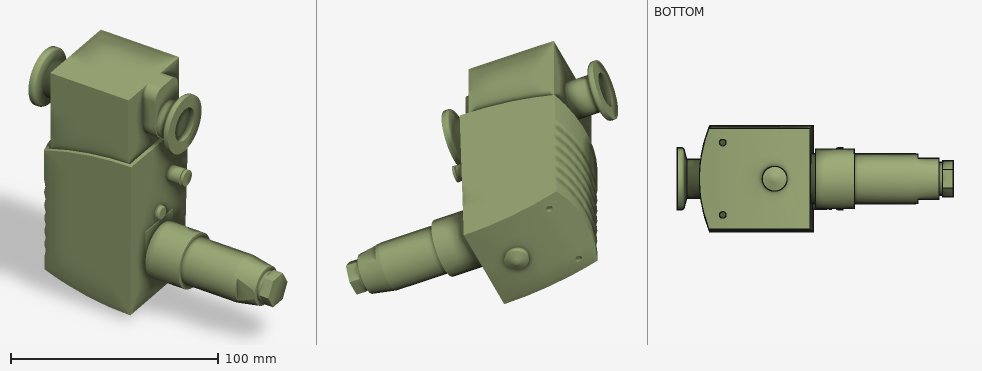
import cadquery as cq
import math


block_length = 44.9
block_width = 45.3
block_top = 20.2
block_bottom = -34.6

flange_radius = 15.0
flange_rim = 1.9
flange_shoulder = 3.5
flange_shoulder_radius = flange_radius - (flange_shoulder - flange_rim)
flange_thickness = 4.7
tube_radius = 19.0 / 2
bore_radius = 8.7
bore_depth = 2.9
left_port_face = -39.8
right_port_face = 40.1

boss_end = 29.7
boss_radius = 10.0
boss_corner_radius = 5.5

draft_angle = 1.0
draft_slope = math.tan(math.radians(draft_angle))
housing_top = -15.5
housing_bottom = -102.3
housing_rear_top = 25.8
housing_front = -29.2
half_width_top = 25.7
front_arc_radius = 67.9
top_arc_radius = 163.6
bottom_arc_radius = 132.4
wall = 2.0
housing_height = housing_top - housing_bottom
housing_rear_bottom = housing_rear_top - draft_slope * housing_height
half_width_bottom = half_width_top - draft_slope * housing_height
front_axis_x = housing_front + front_arc_radius

grip_first_valley = -42.2
grip_valleys = 6
grip_waves_height = 41.3
wave_half_pitch = grip_waves_height / (2 * grip_valleys - 1)
wave_depth = 0.6
grip_lead_in = 1.5
grip_lead_out = 2.0

rear_fitting_start = 24.0
nipple_y = 10.8
nipple_z = -38.9
nipple_radius = 4.1
nipple_end = 34.6
nipple_groove_radius = 2.9
nipple_groove_start = 32.5
nipple_groove_end = 33.3

button_z = -55.7
button_base_radius = 4.0
button_base_end = 25.6
button_radius = 3.6
button_end = 27.5
button_chamfer = 0.5

connector_z = -76.7
plug_radius = 24.4 / 2
collar_radius = 28.9 / 2
collar_start = 26.8
collar_end = 45.7
plug_end = 74.5
cone_end = 86.6
cone_end_radius = 20.1 / 2
flat_half_width = 10.0
flat_start = 76.5
plate_height = 16.1
plate_end = 25.6
neck_radius = 8.0
nut_start = 88.2
nut_end = 93.4
nut_sides = 6
nut_across_flats = 15.0

screw_x = 7.2
screw_radius = 6.0
screw_rim = -103.2
screw_tip = -105.9
screw_root = -93.2
hole_x = -17.8
hole_y = 17.5
hole_diameter = 3.2
hole_depth = 4.0


def rod(radius, x_start, x_end, y=0.0, z=0.0):
    """Round bar along X."""
    return cq.Workplane("YZ", origin=(x_start, y, z)).circle(radius).extrude(x_end - x_start)


def port(face_x, inward):
    """Flanged tube from its open face to the block; inward is +1 or -1 along X."""
    length = abs(face_x) - block_length / 2
    profile = (
        cq.Workplane("XY")
        .moveTo(face_x, 0)
        .lineTo(face_x, flange_radius)
        .lineTo(face_x + inward * flange_rim, flange_radius)
        .tangentArcPoint((face_x + inward * flange_shoulder, flange_shoulder_radius), relative=False)
        .lineTo(face_x + inward * flange_thickness, tube_radius)
        .lineTo(face_x + inward * length, tube_radius)
        .lineTo(face_x + inward * length, 0)
        .close()
    )
    solid = profile.revolve(360, (0, 0, 0), (1, 0, 0))
    return solid.cut(rod(bore_radius, face_x, face_x + inward * bore_depth))


def port_boss():
    """Boss behind the rear port: half round below, straight sides, rounded top corners."""
    start = block_length / 2
    upper = (
        cq.Workplane("XY")
        .box(boss_end - start, 2 * boss_radius, block_top, centered=(False, True, False))
        .edges("|X and >Z")
        .fillet(boss_corner_radius)
        .translate((start, 0, 0))
    )
    return upper.union(rod(boss_radius, start, boss_end))


def make_valve():
    block = (
        cq.Workplane("XY", origin=(0, 0, block_bottom))
        .rect(block_length, block_width)
        .extrude(block_top - block_bottom)
    )
    return block.union(port(left_port_face, 1)).union(port(right_port_face, -1)).union(port_boss())


def arc_drop(radius, run):
    """Fall of an arc that starts level, after a horizontal run."""
    return radius - math.sqrt(radius**2 - run**2)


def side_prism():
    """Side profile with curved top and bottom and a drafted rear, across the full width."""
    front_top = housing_top - arc_drop(top_arc_radius, housing_rear_top - housing_front)
    front_bottom = housing_bottom + arc_drop(bottom_arc_radius, housing_rear_bottom - housing_front)
    return (
        cq.Workplane("XZ")
        .moveTo(housing_rear_bottom, housing_bottom)
        .lineTo(housing_rear_top, housing_top)
        .radiusArc((housing_front, front_top), -top_arc_radius)
        .lineTo(housing_front, front_bottom)
        .radiusArc((housing_rear_bottom, housing_bottom), -bottom_arc_radius)
        .close()
        .extrude(half_width_top, both=True)
    )


def cross_prism():
    """Drafted cross section along the full length."""
    return (
        cq.Workplane("YZ", origin=(housing_front, 0, 0))
        .polyline([
            (-half_width_bottom, housing_bottom),
            (half_width_bottom, housing_bottom),
            (half_width_top, housing_top),
            (-half_width_top, housing_top),
        ])
        .close()
        .extrude(housing_rear_top - housing_front)
    )


def plan_prism(inset, half_width, rear, bottom, top):
    """Plan outline with a bowed front, set back from the front face by the inset."""
    radius = front_arc_radius - inset
    corner_x = front_axis_x - math.sqrt(radius**2 - half_width**2)
    return (
        cq.Workplane("XY", origin=(0, 0, bottom))
        .moveTo(rear, -half_width)
        .lineTo(rear, half_width)
        .lineTo(corner_x, half_width)
        .threePointArc((housing_front + inset, 0), (corner_x, -half_width))
        .close()
        .extrude(top - bottom)
    )


def grip_cutter():
    """Ring with a wavy inner face that carves the finger grip into the bowed front."""
    surface = housing_front
    middle = surface + wave_depth / 2
    outside = surface - wave_depth
    z = grip_first_valley
    profile = (
        cq.Workplane("XZ")
        .moveTo(outside, z + grip_lead_in)
        .lineTo(surface, z + grip_lead_in)
        .lineTo(middle, z)
    )
    for index in range(2 * grip_valleys - 1):
        crest = surface + wave_depth if index % 2 == 0 else surface
        profile = profile.threePointArc((crest, z - wave_half_pitch / 2), (middle, z - wave_half_pitch))
        z -= wave_half_pitch
    profile = (
        profile.lineTo(surface, z - grip_lead_out)
        .lineTo(outside, z - grip_lead_out)
        .close()
    )
    return profile.revolve(360, (front_axis_x, 0, 0), (front_axis_x, 1, 0))


def nipple():
    body = rod(nipple_radius, rear_fitting_start, nipple_end, nipple_y, nipple_z)
    groove = rod(nipple_radius, nipple_groove_start, nipple_groove_end, nipple_y, nipple_z).cut(
        rod(nipple_groove_radius, nipple_groove_start, nipple_groove_end, nipple_y, nipple_z)
    )
    return body.cut(groove)


def button():
    base = rod(button_base_radius, rear_fitting_start, button_base_end, z=button_z)
    cap = rod(button_radius, rear_fitting_start, button_end, z=button_z).faces(">X").chamfer(button_chamfer)
    return base.union(cap)


def connector():
    """Plug, mounting plate, collar, flatted cone, neck and hexagon nut in line along X."""
    tail = (
        cq.Workplane("XY")
        .moveTo(plug_end, 0)
        .lineTo(plug_end, plug_radius)
        .lineTo(cone_end, cone_end_radius)
        .lineTo(cone_end, 0)
        .close()
        .revolve(360, (0, 0, 0), (1, 0, 0))
    )
    for side in (-1, 1):
        tail = tail.cut(
            cq.Workplane("XY")
            .box(cone_end - flat_start, plug_radius, 2 * plug_radius, centered=(False, True, True))
            .translate((flat_start, side * (flat_half_width + plug_radius / 2), 0))
        )
    nut_corner_diameter = nut_across_flats / math.cos(math.pi / nut_sides)
    nut = (
        cq.Workplane("YZ", origin=(nut_start, 0, 0))
        .polygon(nut_sides, nut_corner_diameter)
        .extrude(nut_end - nut_start)
    )
    plate = cq.Workplane("XY").box(
        plate_end - rear_fitting_start, 2 * plug_radius, plate_height, centered=(False, True, False)
    ).translate((rear_fitting_start, 0, 0))
    plug = (
        rod(plug_radius, rear_fitting_start, plug_end)
        .union(rod(collar_radius, collar_start, collar_end))
        .union(plate)
        .union(tail)
        .union(rod(neck_radius, cone_end, nut_start))
        .union(nut)
    )
    return plug.translate((0, 0, connector_z))


def bottom_screw():
    """Round screw head with a conical tip under the housing."""
    return (
        cq.Workplane("XZ")
        .moveTo(0, screw_root)
        .lineTo(screw_radius, screw_root)
        .lineTo(screw_radius, screw_rim)
        .lineTo(0, screw_tip)
        .close()
        .revolve(360, (0, 0, 0), (0, 1, 0))
        .translate((screw_x, 0, 0))
    )


def bottom_holes():
    """Two small upright blind holes in the curved underside."""
    surface_z = housing_bottom + arc_drop(bottom_arc_radius, housing_rear_bottom - hole_x)
    return (
        cq.Workplane("XY", origin=(hole_x, 0, housing_bottom))
        .pushPoints([(0, -hole_y), (0, hole_y)])
        .circle(hole_diameter / 2)
        .extrude(surface_z + hole_depth - housing_bottom)
    )


def make_housing():
    outline = plan_prism(0, half_width_top, housing_rear_top, housing_bottom, housing_top)
    pocket = plan_prism(wall, half_width_top - wall, housing_rear_top - wall, block_bottom, housing_top)
    shell = side_prism().intersect(cross_prism()).intersect(outline)
    shell = shell.cut(pocket).cut(grip_cutter()).cut(bottom_holes())
    return shell.union(nipple()).union(button()).union(connector()).union(bottom_screw())


valve = make_valve()
housing = make_housing()

result = cq.Compound.makeCompound([valve.solids().val(), housing.solids().val()])